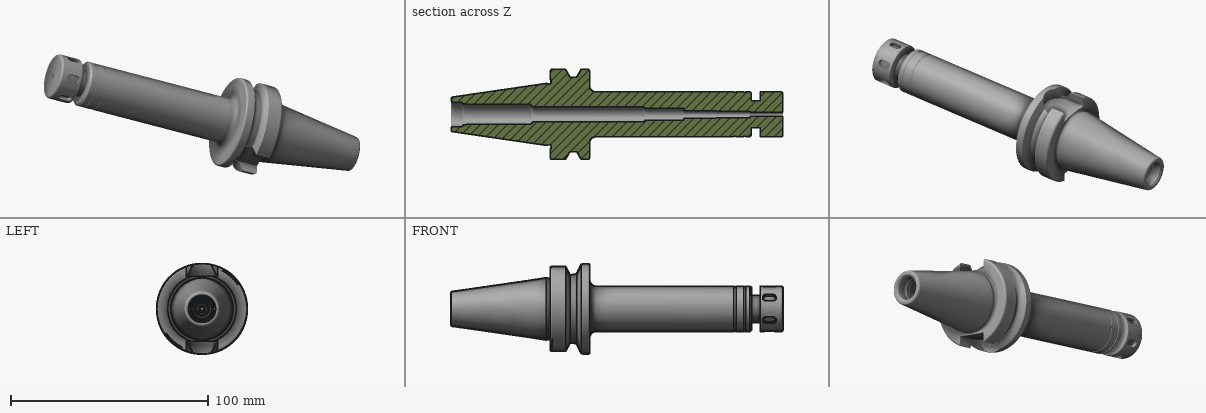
import cadquery as cq
import math


total_length = 168.4
taper_end_x = 48.3
flange_start_x = 50.4
flange_end_x = 70.4
body_end_x = 152.4
nut_start_x = 156.8

taper_large_radius = 15.8
taper_slope = 7 / 48
taper_small_radius = taper_large_radius - taper_slope * taper_end_x
taper_tip_fillet = 0.8

relief_radius = 15.5
relief_start_x = 49.5
relief_fillet_start_x = 49.8
relief_fillet = 0.8
recess_radius = 17.3

flange_radius = 46.0 / 2
flange_edge_fillet = 1.0
groove_start_x = 58.1
groove_end_x = 66.0
groove_radius = 19.0
groove_wall_angle = math.radians(30)

key_width = 16.0
key_floor = 16.5
key_end_x = 67.4

body_radius = 23.0 / 2
body_root_fillet = 3.0
body_end_chamfer = 0.8
ring_depth = 0.25
ring_spans = [(143.3, 144.7), (148.4, 149.5)]

neck_radius = 14.0 / 2
nut_radius = body_radius
nut_rear_fillet = 0.5
nut_front_fillet = 1.2

wrench_slot_count = 6
wrench_slot_length = 6.7
wrench_slot_width = 3.9
wrench_slot_depth = 2.0
wrench_slot_x = 161.5

entry_radius = 6.9
pilot_radius = 12.1 / 2
pilot_end_x = 5.5
thread_radius = 10.5 / 2
thread_start_x = pilot_end_x + pilot_radius - thread_radius
thread_end_x = 7.9
drill_radius = 9.8 / 2
drill_end_x = 40.5
clearance_radius = 3.7
clearance_start_x = drill_end_x + drill_radius - clearance_radius
clearance_end_x = 97.7
screw_radius = 5.7 / 2
screw_start_x = clearance_end_x + clearance_radius - screw_radius
screw_end_x = 117.9
collet_radius = 3.5 / 2
collet_end_x = 134.7
guide_radius = 3.0 / 2
guide_end_x = 151.5
tip_radius = 1.7 / 2


def arc_inset(radius):
    """Distance from the sharp corner, along each side, to the middle of a quarter-circle round."""
    return radius * (1 - math.sqrt(0.5))


def revolve_about_x(profile):
    return profile.revolve(360, (0, 0, 0), (1, 0, 0))


def about_axis(shape, angle):
    return shape.rotate((0, 0, 0), (1, 0, 0), angle)


def add_taper(profile):
    """Tip face, rounded tip edge and cone, from the axis to the large end."""
    inset = arc_inset(taper_tip_fillet)
    fillet_end_radius = taper_small_radius + taper_slope * taper_tip_fillet
    return (
        profile.lineTo(0, taper_small_radius - taper_tip_fillet)
        .threePointArc((inset, taper_small_radius - inset), (taper_tip_fillet, fillet_end_radius))
        .lineTo(taper_end_x, taper_large_radius)
    )


def add_relief(profile):
    """Narrowed section behind the taper, blending into the flange face recess."""
    inset = arc_inset(relief_fillet)
    recess_floor_x = relief_fillet_start_x + relief_fillet
    return (
        profile.lineTo(relief_start_x, relief_radius)
        .lineTo(relief_fillet_start_x, relief_radius)
        .threePointArc(
            (recess_floor_x - inset, relief_radius + inset),
            (recess_floor_x, relief_radius + relief_fillet),
        )
        .lineTo(recess_floor_x, recess_radius)
        .lineTo(flange_start_x, recess_radius)
    )


def add_flange(profile):
    """Flange rim with rounded outer edges and the V groove."""
    inset = arc_inset(flange_edge_fillet)
    wall_run = (flange_radius - groove_radius) * math.tan(groove_wall_angle)
    return (
        profile.lineTo(flange_start_x, flange_radius - flange_edge_fillet)
        .threePointArc(
            (flange_start_x + inset, flange_radius - inset),
            (flange_start_x + flange_edge_fillet, flange_radius),
        )
        .lineTo(groove_start_x, flange_radius)
        .lineTo(groove_start_x + wall_run, groove_radius)
        .lineTo(groove_end_x - wall_run, groove_radius)
        .lineTo(groove_end_x, flange_radius)
        .lineTo(flange_end_x - flange_edge_fillet, flange_radius)
        .threePointArc(
            (flange_end_x - inset, flange_radius - inset),
            (flange_end_x, flange_radius - flange_edge_fillet),
        )
    )


def add_body(profile):
    """Root fillet, straight body with ring grooves, and chamfered end."""
    inset = arc_inset(body_root_fillet)
    profile = profile.lineTo(flange_end_x, body_radius + body_root_fillet).threePointArc(
        (flange_end_x + inset, body_radius + inset),
        (flange_end_x + body_root_fillet, body_radius),
    )
    for ring_start_x, ring_end_x in ring_spans:
        profile = (
            profile.lineTo(ring_start_x, body_radius)
            .lineTo(ring_start_x, body_radius - ring_depth)
            .lineTo(ring_end_x, body_radius - ring_depth)
            .lineTo(ring_end_x, body_radius)
        )
    return profile.lineTo(body_end_x - body_end_chamfer, body_radius).lineTo(
        body_end_x, body_radius - body_end_chamfer
    )


def add_neck_and_nut(profile):
    """Thin neck and the rounded nut, back down to the axis."""
    rear_inset = arc_inset(nut_rear_fillet)
    front_inset = arc_inset(nut_front_fillet)
    return (
        profile.lineTo(body_end_x, neck_radius)
        .lineTo(nut_start_x, neck_radius)
        .lineTo(nut_start_x, nut_radius - nut_rear_fillet)
        .threePointArc(
            (nut_start_x + rear_inset, nut_radius - rear_inset),
            (nut_start_x + nut_rear_fillet, nut_radius),
        )
        .lineTo(total_length - nut_front_fillet, nut_radius)
        .threePointArc(
            (total_length - front_inset, nut_radius - front_inset),
            (total_length, nut_radius - nut_front_fillet),
        )
        .lineTo(total_length, 0)
    )


def turned_solid():
    """All outer turned shapes as one revolved profile."""
    profile = cq.Workplane("XY").moveTo(0, 0)
    for add_section in (add_taper, add_relief, add_flange, add_body, add_neck_and_nut):
        profile = add_section(profile)
    return revolve_about_x(profile.close())


def stepped_bore():
    """Chamfered pilot, thread bore and drilled bore, then smaller steps to the nut face."""
    bore_outline = [
        (0, 0),
        (0, entry_radius),
        (entry_radius - pilot_radius, pilot_radius),
        (pilot_end_x, pilot_radius),
        (thread_start_x, thread_radius),
        (thread_end_x, thread_radius),
        (thread_end_x, drill_radius),
        (drill_end_x, drill_radius),
        (clearance_start_x, clearance_radius),
        (clearance_end_x, clearance_radius),
        (screw_start_x, screw_radius),
        (screw_end_x, screw_radius),
        (screw_end_x, collet_radius),
        (collet_end_x, collet_radius),
        (collet_end_x, guide_radius),
        (guide_end_x, guide_radius),
        (guide_end_x, tip_radius),
        (total_length, tip_radius),
        (total_length, 0),
    ]
    return revolve_about_x(cq.Workplane("XY").polyline(bore_outline).close())


def driving_slot():
    """Round-ended slot cutter at +Z, open toward the taper."""
    end_radius = key_width / 2
    arc_center_x = key_end_x - end_radius
    return (
        cq.Workplane("XY", origin=(0, 0, key_floor))
        .moveTo(taper_end_x, -end_radius)
        .lineTo(arc_center_x, -end_radius)
        .threePointArc((key_end_x, 0), (arc_center_x, end_radius))
        .lineTo(taper_end_x, end_radius)
        .close()
        .extrude(flange_radius - key_floor)
    )


def wrench_slot():
    """Flat-bottomed obround cutter at +Z on the nut."""
    return (
        cq.Workplane("XY", origin=(wrench_slot_x, 0, nut_radius - wrench_slot_depth))
        .slot2D(wrench_slot_length, wrench_slot_width)
        .extrude(wrench_slot_depth)
    )


result = turned_solid().cut(stepped_bore())
for slot_angle in (0, 180):
    result = result.cut(about_axis(driving_slot(), slot_angle))
for index in range(wrench_slot_count):
    result = result.cut(about_axis(wrench_slot(), index * 360 / wrench_slot_count))